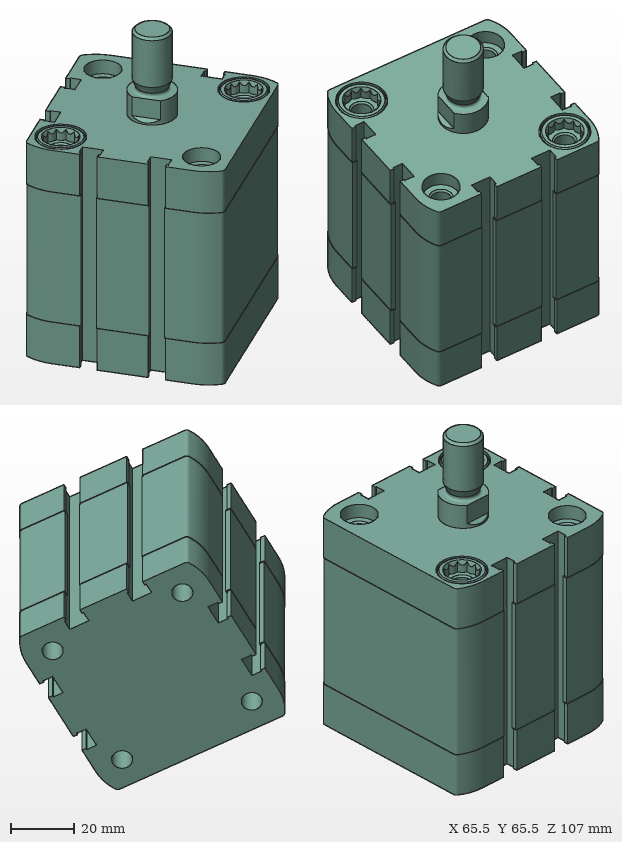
import cadquery as cq
import math


TOTAL_HEIGHT = 107.0
WIDTH = 65.5

HOUSING_HEIGHT = 76.7
CAP_HEIGHT = 15.0
BARREL_HEIGHT = HOUSING_HEIGHT - 2 * CAP_HEIGHT
BARREL_INSET = 0.16

CORNER_RADIUS = 17.5
EDGE_RADIUS = 1.6
CORNER_ARC_START = 23.2

SLOT_OFFSET = 11.2
SLOT_DEPTH = 4.9
SLOT_WIDTH = 6.8
CAP_SLOT_OPENING = 5.8
CAP_SLOT_LIP = 1.5
BARREL_SLOT_OPENING = 5.1
BARREL_SLOT_LIP = 1.8

HOLE_OFFSET = 23.2
HOLE_DIAMETER = 6.6
HOLE_MOUTH_DIAMETER = 7.8
COUNTERBORE_DIAMETER = 12.0
COUNTERBORE_DEPTH = 4.9

COLLAR_GROOVE_DIAMETER = 16.4
COLLAR_DIAMETER = 15.5
COLLAR_CHAMFER = 0.4
GROOVE_DEPTH = 1.0
SOCKET_MOUTH_DIAMETER = 12.2
SOCKET_MOUTH_DEPTH = 1.6
SOCKET_TIP_DIAMETER = 11.8
SOCKET_BORE_DIAMETER = 10.8
SOCKET_DEPTH = 4.3

ROD_DIAMETER = 16.0
ROD_SHOULDER_HEIGHT = 8.5
FLATS_WIDTH = 13.0
FLATS_HEIGHT = 6.7
FLATS_RUN_OUT_HEIGHT = 1.1
NECK_DIAMETER = 10.6
NECK_HEIGHT = 1.5
NECK_FILLET = 0.9
TAPER_HEIGHT = 2.7
THREAD_DIAMETER = 12.7
THREAD_CHAMFER = 0.9


def turned(profile):
    """Solid made by closing an open XZ profile and turning it about the Z axis."""
    return profile.close().revolve(360, (0, 0, 0), (0, 1, 0))


def block(width, height, base):
    """Square block with two-arc corners, standing at height `base`."""
    rounded_length = 2 * (CORNER_ARC_START + CORNER_RADIUS)
    rounded = cq.Workplane("XY", origin=(0, 0, base)).rect(rounded_length, width).extrude(height)
    rounded = rounded.edges("|Z").fillet(CORNER_RADIUS)
    square = cq.Workplane("XY", origin=(0, 0, base)).rect(width, width).extrude(height)
    shape = rounded.intersect(square)
    return shape.faces("<X or >X").edges("|Z").fillet(EDGE_RADIUS)


def slot(opening, lip, height, base):
    """Cutter for one T-slot in the +Y face, centred on X = 0."""
    half = WIDTH / 2
    sketch = cq.Workplane("XY", origin=(0, 0, base))
    mouth = sketch.center(0, half - SLOT_DEPTH / 2).rect(opening, SLOT_DEPTH).extrude(height)
    pocket_depth = SLOT_DEPTH - lip
    pocket_y = half - lip - pocket_depth / 2
    pocket = sketch.center(0, pocket_y).rect(SLOT_WIDTH, pocket_depth).extrude(height)
    return mouth.union(pocket)


def housing_section(inset, opening, lip, height, base):
    """One length of the housing, with two T-slots in each face except +X."""
    section = block(WIDTH - 2 * inset, height, base)
    for face_angle in (0, 90, 180):
        for side in (-1, 1):
            cutter = slot(opening, lip, height, base).translate((side * SLOT_OFFSET, 0, 0))
            section = section.cut(cutter.rotate((0, 0, 0), (0, 0, 1), face_angle))
    return section


def through_hole(seat_depth):
    """Cutter for a screw hole with a conical mouth at `seat_depth` below the top face, on the Z axis."""
    seat = HOUSING_HEIGHT - seat_depth
    mouth_radius = HOLE_MOUTH_DIAMETER / 2
    radius = HOLE_DIAMETER / 2
    mouth_bottom = seat - (mouth_radius - radius)
    profile = [(0, 0), (radius, 0), (radius, mouth_bottom), (mouth_radius, seat), (0, seat)]
    return turned(cq.Workplane("XZ").polyline(profile))


def counterbored_hole():
    """Cutter for a plain counterbored screw hole on the Z axis."""
    seat = HOUSING_HEIGHT - COUNTERBORE_DEPTH
    counterbore = cq.Workplane("XY", origin=(0, 0, seat)).circle(COUNTERBORE_DIAMETER / 2)
    return through_hole(COUNTERBORE_DEPTH).union(counterbore.extrude(COUNTERBORE_DEPTH))


def collar_groove():
    """Cutter for the ring-shaped groove that leaves a collar with a chamfered rim, on the Z axis."""
    outer = COLLAR_GROOVE_DIAMETER / 2
    inner = COLLAR_DIAMETER / 2
    top = HOUSING_HEIGHT
    profile = [
        (inner - COLLAR_CHAMFER, top),
        (inner, top - COLLAR_CHAMFER),
        (inner, top - GROOVE_DEPTH),
        (outer, top - GROOVE_DEPTH),
        (outer, top),
    ]
    return turned(cq.Workplane("XZ").polyline(profile))


def socket():
    """Cutter for a twelve-point socket with a conical mouth, on the Z axis."""
    floor = HOUSING_HEIGHT - SOCKET_DEPTH
    sketch = cq.Workplane("XY", origin=(0, 0, floor))
    star = sketch.circle(SOCKET_BORE_DIAMETER / 2).extrude(SOCKET_DEPTH)
    hexagon = sketch.polygon(6, SOCKET_TIP_DIAMETER).extrude(SOCKET_DEPTH)
    for angle in (0, 30):
        star = star.union(hexagon.rotate((0, 0, 0), (0, 0, 1), angle))

    mouth_bottom = HOUSING_HEIGHT - SOCKET_MOUTH_DEPTH
    mouth_profile = [
        (0, mouth_bottom),
        (SOCKET_BORE_DIAMETER / 2, mouth_bottom),
        (SOCKET_MOUTH_DIAMETER / 2, HOUSING_HEIGHT),
        (0, HOUSING_HEIGHT),
    ]
    return star.union(turned(cq.Workplane("XZ").polyline(mouth_profile)))


def collared_hole():
    """Cutter for a screw hole below a twelve-point socket and its collar, on the Z axis."""
    return through_hole(SOCKET_DEPTH).union(socket()).union(collar_groove())


def make_housing():
    """Two end caps and the barrel between them, with slots and corner holes."""
    body = housing_section(BARREL_INSET, BARREL_SLOT_OPENING, BARREL_SLOT_LIP, BARREL_HEIGHT, CAP_HEIGHT)
    for base in (0, CAP_HEIGHT + BARREL_HEIGHT):
        body = body.union(housing_section(0, CAP_SLOT_OPENING, CAP_SLOT_LIP, CAP_HEIGHT, base))
    for side in (-1, 1):
        body = body.cut(collared_hole().translate((side * HOLE_OFFSET, side * HOLE_OFFSET, 0)))
        body = body.cut(counterbored_hole().translate((side * HOLE_OFFSET, -side * HOLE_OFFSET, 0)))
    return body.solids()


def rod_flats():
    """Cutters for the two wrench flats, each running out on a slope at its lower end."""
    top = HOUSING_HEIGHT + ROD_SHOULDER_HEIGHT
    bottom = top - FLATS_HEIGHT
    inner = FLATS_WIDTH / 2
    outer = ROD_DIAMETER / 2
    profile = [(inner, top), (outer, top), (outer, bottom - FLATS_RUN_OUT_HEIGHT), (inner, bottom)]
    flat = cq.Workplane("YZ").polyline(profile).close().extrude(outer, both=True)
    return flat.union(flat.mirror("XZ"))


def make_rod():
    """Piston rod standing on the housing: shoulder with flats, neck, taper and threaded end."""
    shoulder_top = HOUSING_HEIGHT + ROD_SHOULDER_HEIGHT
    neck_top = shoulder_top + NECK_HEIGHT
    taper_top = neck_top + TAPER_HEIGHT
    thread_radius = THREAD_DIAMETER / 2
    neck_radius = NECK_DIAMETER / 2
    fillet_centre = (neck_radius + NECK_FILLET, shoulder_top + NECK_FILLET)
    fillet_mid = [coordinate - NECK_FILLET * math.sqrt(0.5) for coordinate in fillet_centre]

    profile = cq.Workplane("XZ").moveTo(0, HOUSING_HEIGHT).lineTo(ROD_DIAMETER / 2, HOUSING_HEIGHT)
    profile = profile.lineTo(ROD_DIAMETER / 2, shoulder_top).lineTo(fillet_centre[0], shoulder_top)
    profile = profile.threePointArc(fillet_mid, (neck_radius, fillet_centre[1]))
    profile = profile.lineTo(neck_radius, neck_top).lineTo(thread_radius, taper_top)
    profile = profile.lineTo(thread_radius, TOTAL_HEIGHT - THREAD_CHAMFER)
    profile = profile.lineTo(thread_radius - THREAD_CHAMFER, TOTAL_HEIGHT).lineTo(0, TOTAL_HEIGHT)
    return turned(profile).cut(rod_flats()).solids()


housing = make_housing()
rod = make_rod()

result = cq.Compound.makeCompound([housing.val(), rod.val()])